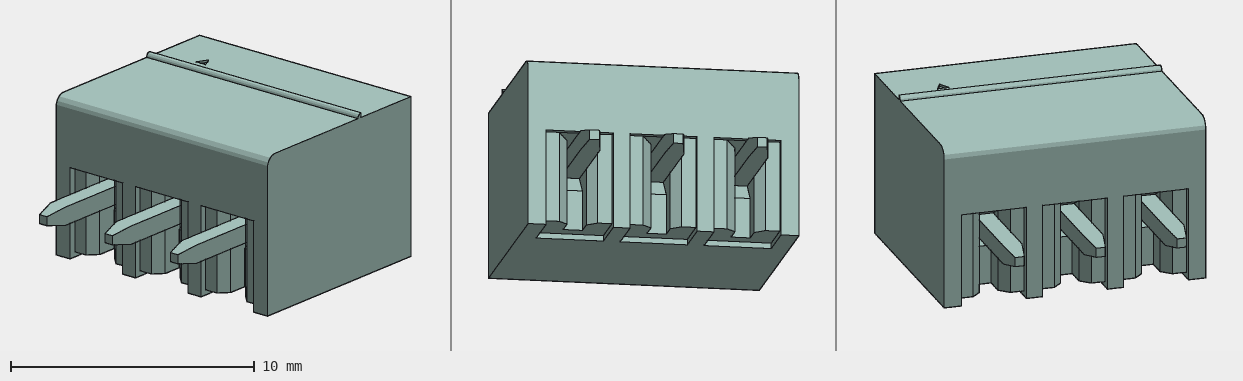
import cadquery as cq
import math

pole_count = 3
pitch = 3.5
housing_width = 11.3
housing_depth = 9.2
housing_height = 7.0
front_edge_radius = 0.5

rib_from_back = 3.2
rib_radius = 0.2

pin_size = 0.8
pin_tip_size = 0.4
pin_tip_length = 0.95
pin_overhang = 3.4
pin_height = 3.0

window_width = 2.8
window_top = 4.0
window_depth = 0.3
window_floor = 0.23
funnel_mouth_width = 1.6
funnel_end = 0.7
channel_back = 1.6
lower_wall_top = 1.9
ceiling_slope = 30

mark_width = 0.5
mark_length = 0.5
mark_from_back = 2.5
mark_depth = 0.1

pin_bottom = pin_height - pin_size / 2
pin_top = pin_height + pin_size / 2
channel_end = channel_back + pin_bottom - lower_wall_top
ceiling_end = window_depth + (window_top - pin_top) / math.tan(math.radians(ceiling_slope))
pole_positions = [pitch * (i - (pole_count - 1) / 2) for i in range(pole_count)]


def make_housing():
    """Block with a rounded upper front edge, standing on z = 0 behind y = 0."""
    block = cq.Workplane("XY").box(
        housing_width, housing_depth, housing_height, centered=(True, False, False)
    )
    return block.edges(">Z and <Y").fillet(front_edge_radius)


def make_rib():
    """Quarter-round snap rib, upright at the back and rounded towards the front."""
    back = housing_depth - rib_from_back
    diagonal = rib_radius * math.sqrt(0.5)
    profile = (
        cq.Workplane("YZ")
        .moveTo(back, housing_height)
        .lineTo(back, housing_height + rib_radius)
        .threePointArc(
            (back - diagonal, housing_height + diagonal),
            (back - rib_radius, housing_height),
        )
        .close()
    )
    return profile.extrude(housing_width / 2, both=True)


def make_opening():
    """Space removed around one pin: window, foot relief and funnel-shaped channel."""
    window = cq.Workplane("XY").box(
        window_width, window_depth, window_top, centered=(True, False, False)
    )
    foot_relief = cq.Workplane("XY").box(
        window_width, channel_end, window_floor, centered=(True, False, False)
    )
    plan = [
        (-funnel_mouth_width / 2, 0),
        (funnel_mouth_width / 2, 0),
        (funnel_mouth_width / 2, window_depth),
        (pin_size / 2, funnel_end),
        (pin_size / 2, channel_end),
        (-pin_size / 2, channel_end),
        (-pin_size / 2, funnel_end),
        (-funnel_mouth_width / 2, window_depth),
    ]
    side = [
        (0, 0),
        (channel_back, 0),
        (channel_back, lower_wall_top),
        (channel_end, pin_bottom),
        (channel_end, pin_top),
        (ceiling_end, pin_top),
        (window_depth, window_top),
        (0, window_top),
    ]
    plan_prism = cq.Workplane("XY").polyline(plan).close().extrude(window_top)
    side_prism = cq.Workplane("YZ").polyline(side).close().extrude(window_width / 2, both=True)
    return window.union(foot_relief).union(plan_prism.intersect(side_prism))


def make_pin():
    """Square pin with a tapered tip, rooted at the end of its channel."""
    root = channel_end + pin_size
    shank_end = pin_tip_length - pin_overhang
    shank = (
        cq.Workplane("XZ", origin=(0, root, pin_height))
        .rect(pin_size, pin_size)
        .extrude(root - shank_end)
    )
    tip = (
        cq.Workplane("XZ", origin=(0, shank_end, pin_height))
        .rect(pin_size, pin_size)
        .workplane(offset=pin_tip_length)
        .rect(pin_tip_size, pin_tip_size)
        .loft(combine=True)
    )
    return shank.union(tip)


def make_mark():
    """Triangle pointing to the back, above the first pole."""
    base = housing_depth - mark_from_back
    corners = [(-mark_width / 2, base), (mark_width / 2, base), (0, base + mark_length)]
    return (
        cq.Workplane("XY", origin=(pole_positions[0], 0, housing_height))
        .polyline(corners)
        .close()
        .extrude(-mark_depth)
    )


result = make_housing().union(make_rib()).cut(make_mark())
for x in pole_positions:
    result = result.cut(make_opening().translate((x, 0, 0)))
for x in pole_positions:
    result = result.union(make_pin().translate((x, 0, 0)))